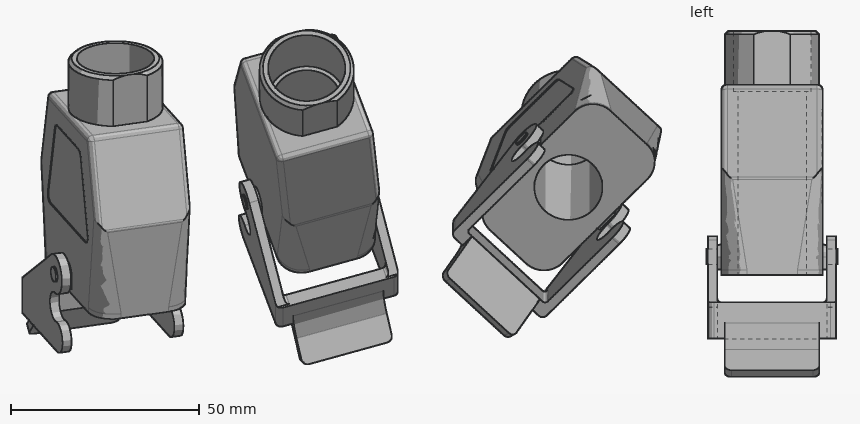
import cadquery as cq
import math


HOOD_LENGTH = 46.0
HOOD_WIDTH = 26.9
HOOD_HEIGHT = 50.5
SHOULDER_Z = 25.7
SHOULDER_LEAN = 15
SHOULDER_ROUND = 2.75
EDGE_ROUND = 1.6

RIM_HEIGHT = 1.5
RIM_CORNER_RADIUS = 6.8
SHOULDER_CORNER_RADIUS = 2.9
CORNER_BLEND_TOP = 38.5

ENTRY_DIAMETER = 25.0
ENTRY_FLATS_WIDTH = 23.1
ENTRY_HEIGHT = 14.2
ENTRY_CHAMFER = 0.9
BORE_DIAMETER = 18.0
COUNTERBORE_DIAMETER = 20.4
COUNTERBORE_DEPTH = 16.0

PANEL_BOTTOM_Z = 19.2
PANEL_TOP_Z = 43.9
PANEL_BOTTOM_LENGTH = 32.8
PANEL_CORNER_RADIUS = 2.0
PANEL_DEPTH = 0.3

PIVOT_Z = 4.95
PIN_DIAMETER = 4.0
PIN_PROTRUSION = 0.5
BOSS_WIDTH = 6.6
BOSS_DRAFT = 18

LEVER_WIDTH = 34.0
ARM_THICKNESS = 2.6
BRIDGE_THICKNESS = 3.6
BRIDGE_FRONT_X = -27.3
BRIDGE_TOP_Z = -7.1
BRIDGE_INNER_ROUND = 0.9
BRIDGE_OUTER_ROUND = 1.6
LEVER_BOTTOM_Z = -16.8
HEAD_RADIUS = 5.4
ARM_SLOPE = 35
NOTCH_RADIUS = 4.0
FINGER_RADIUS = 4.2

TAB_WIDTH = 25.1
TAB_THICKNESS = 2.6
TAB_ANGLE = 45
TAB_BEND_RADIUS = 9.8
TAB_TIP_X = -35.7
TAB_BEND_TOP_Z = -12.6
TAB_CORNER_RADIUS = 1.7

CLEARANCE = 55.0

ARM_INNER_Y = LEVER_WIDTH / 2 - ARM_THICKNESS
ARM_OUTER_Y = LEVER_WIDTH / 2


def along_y(outline, half_width):
    """Extrude an XZ outline symmetrically about Y = 0."""
    return outline.extrude(half_width, both=True)


def make_hood_side_shape():
    """Hood outline seen along Y, with its edges rounded."""
    bottom_x = HOOD_LENGTH / 2
    top_x = bottom_x - (HOOD_HEIGHT - SHOULDER_Z) * math.tan(math.radians(SHOULDER_LEAN))
    outline = cq.Workplane("XZ").polyline([
        (-bottom_x, 0),
        (bottom_x, 0),
        (bottom_x, SHOULDER_Z),
        (top_x, HOOD_HEIGHT),
        (-top_x, HOOD_HEIGHT),
        (-bottom_x, SHOULDER_Z),
    ]).close()
    prism = along_y(outline, HOOD_WIDTH / 2)
    shoulder_edges = cq.selectors.BoxSelector(
        (-HOOD_LENGTH, -HOOD_WIDTH, RIM_HEIGHT), (HOOD_LENGTH, HOOD_WIDTH, CORNER_BLEND_TOP))
    prism = prism.edges("|Y").edges(shoulder_edges).fillet(SHOULDER_ROUND)
    side_edges = prism.faces("<Y or >Y").edges("not <Z")
    top_end_edges = prism.faces(">Z").edges("|Y")
    return side_edges.add(top_end_edges).fillet(EDGE_ROUND)


def make_hood_corner_shape():
    """Block whose corner radius is constant at the rim and tapers away above it."""
    radius_loss = (RIM_CORNER_RADIUS - SHOULDER_CORNER_RADIUS) / (SHOULDER_Z - RIM_HEIGHT)
    blend_height = CORNER_BLEND_TOP - RIM_HEIGHT
    top_radius = RIM_CORNER_RADIUS - radius_loss * blend_height
    full_section = cq.Sketch().rect(HOOD_LENGTH, HOOD_WIDTH)
    rim_section = full_section.copy().vertices().fillet(RIM_CORNER_RADIUS)
    top_section = full_section.copy().vertices().fillet(top_radius)
    rim = cq.Workplane("XY").placeSketch(rim_section).extrude(RIM_HEIGHT)
    blend = cq.Workplane("XY", origin=(0, 0, RIM_HEIGHT)).placeSketch(
        rim_section, top_section.moved(cq.Location(cq.Vector(0, 0, blend_height)))).loft(ruled=True)
    cap = cq.Workplane("XY", origin=(0, 0, CORNER_BLEND_TOP)).placeSketch(
        top_section).extrude(HOOD_HEIGHT - CORNER_BLEND_TOP)
    return rim.union(blend).union(cap)


def make_cable_entry():
    """Chamfered tube stub with two flats facing along X."""
    base = cq.Workplane("XY", origin=(0, 0, HOOD_HEIGHT))
    stub = base.circle(ENTRY_DIAMETER / 2).extrude(ENTRY_HEIGHT).faces(">Z").chamfer(ENTRY_CHAMFER)
    flats = base.rect(ENTRY_FLATS_WIDTH, ENTRY_DIAMETER).extrude(ENTRY_HEIGHT)
    return stub.intersect(flats)


def cut_bores(body):
    """Stepped bore running down through the entry and the hood."""
    top = body.faces(">Z").workplane(origin=(0, 0, 0))
    return top.cboreHole(BORE_DIAMETER, COUNTERBORE_DIAMETER, COUNTERBORE_DEPTH)


def make_panel_recess():
    """Shallow trapezoid sunk into the -Y face, its sides parallel to the end faces."""
    bottom_x = PANEL_BOTTOM_LENGTH / 2
    top_x = bottom_x - (PANEL_TOP_Z - PANEL_BOTTOM_Z) * math.tan(math.radians(SHOULDER_LEAN))
    recess = cq.Workplane("XZ", origin=(0, -HOOD_WIDTH / 2, 0)).polyline([
        (-bottom_x, PANEL_BOTTOM_Z),
        (bottom_x, PANEL_BOTTOM_Z),
        (top_x, PANEL_TOP_Z),
        (-top_x, PANEL_TOP_Z),
    ]).close().extrude(-PANEL_DEPTH)
    return recess.edges("|Y").fillet(PANEL_CORNER_RADIUS)


def make_pivot(side):
    """Drafted boss and pivot pin on one wall; side is -1 or +1 along Y."""
    wall_y = HOOD_WIDTH / 2
    boss_height = ARM_INNER_Y - wall_y
    wall = cq.Workplane(cq.Plane((0, side * wall_y, PIVOT_Z), xDir=(1, 0, 0), normal=(0, side, 0)))
    boss = wall.slot2D(BOSS_WIDTH + 2 * PIVOT_Z, BOSS_WIDTH, 90).extrude(boss_height, taper=BOSS_DRAFT)
    boss = boss.translate((0, 0, -PIVOT_Z))
    below_rim = cq.Workplane("XY", origin=(0, 0, RIM_HEIGHT)).rect(
        BOSS_WIDTH, CLEARANCE).extrude(-CLEARANCE)
    boss = boss.cut(below_rim)
    pin_length = ARM_OUTER_Y + PIN_PROTRUSION - wall_y
    pin = wall.circle(PIN_DIAMETER / 2).extrude(pin_length)
    return boss.union(pin)


def make_housing():
    hood = make_hood_side_shape().intersect(make_hood_corner_shape())
    hood = cut_bores(hood.union(make_cable_entry()))
    hood = hood.cut(make_panel_recess())
    for side in (-1, 1):
        hood = hood.union(make_pivot(side))
    return hood


def point_on_circle(center, radius, degrees):
    angle = math.radians(degrees)
    return (center[0] + radius * math.cos(angle), center[1] + radius * math.sin(angle))


def make_lever_side_shape():
    """Arm outline: bridge end, sloped top, round head, hook notch and finger."""
    head = (0, PIVOT_Z)
    notch = (0, PIVOT_Z - HEAD_RADIUS - NOTCH_RADIUS)
    finger_z = LEVER_BOTTOM_Z + FINGER_RADIUS
    centre_distance = NOTCH_RADIUS + FINGER_RADIUS
    finger_x = math.sqrt(centre_distance ** 2 - (notch[1] - finger_z) ** 2)
    finger = (finger_x, finger_z)
    notch_to_finger = math.degrees(math.atan2(finger[1] - notch[1], finger[0] - notch[0]))

    slope_end = point_on_circle(head, HEAD_RADIUS, 90 + ARM_SLOPE)
    slope_start_x = slope_end[0] - (slope_end[1] - BRIDGE_TOP_Z) / math.tan(math.radians(ARM_SLOPE))
    outline = (
        cq.Workplane("XZ")
        .moveTo(BRIDGE_FRONT_X, LEVER_BOTTOM_Z)
        .lineTo(BRIDGE_FRONT_X, BRIDGE_TOP_Z)
        .lineTo(slope_start_x, BRIDGE_TOP_Z)
        .lineTo(*slope_end)
        .threePointArc(point_on_circle(head, HEAD_RADIUS, 0), point_on_circle(head, HEAD_RADIUS, -90))
        .threePointArc(point_on_circle(notch, NOTCH_RADIUS, 180),
                       point_on_circle(notch, NOTCH_RADIUS, notch_to_finger))
        .threePointArc(point_on_circle(finger, FINGER_RADIUS, 0),
                       point_on_circle(finger, FINGER_RADIUS, -90))
        .close()
    )
    return along_y(outline, ARM_OUTER_Y)


def make_lever_tab():
    """Grip tab bending out of the bridge and running down at an angle."""
    lean = math.radians(TAB_ANGLE)
    bend_center = (BRIDGE_FRONT_X - TAB_BEND_RADIUS, TAB_BEND_TOP_Z)
    bend_end = point_on_circle(bend_center, TAB_BEND_RADIUS, -TAB_ANGLE)
    tip_z = bend_end[1] - (bend_end[0] - TAB_TIP_X) / math.tan(lean)
    inner_tip = (TAB_TIP_X + TAB_THICKNESS * math.cos(lean), tip_z - TAB_THICKNESS * math.sin(lean))
    bridge_back_x = inner_tip[0] + (LEVER_BOTTOM_Z - inner_tip[1]) * math.tan(lean)
    outline = (
        cq.Workplane("XZ")
        .moveTo(BRIDGE_FRONT_X, TAB_BEND_TOP_Z)
        .threePointArc(point_on_circle(bend_center, TAB_BEND_RADIUS, -TAB_ANGLE / 2), bend_end)
        .lineTo(TAB_TIP_X, tip_z)
        .lineTo(*inner_tip)
        .lineTo(bridge_back_x, LEVER_BOTTOM_Z)
        .lineTo(bridge_back_x, TAB_BEND_TOP_Z)
        .close()
    )
    tab = along_y(outline, TAB_WIDTH / 2)
    tip_face = tab.faces(cq.selectors.NearestToPointSelector(
        ((TAB_TIP_X + inner_tip[0]) / 2, 0, (tip_z + inner_tip[1]) / 2)))
    return tip_face.edges("not |Y").fillet(TAB_CORNER_RADIUS)


def make_lever():
    bridge_back_x = BRIDGE_FRONT_X + BRIDGE_THICKNESS
    lever = make_lever_side_shape().edges("|Z and <X").fillet(BRIDGE_OUTER_ROUND)

    opening = (
        cq.Workplane("XY", origin=(bridge_back_x + CLEARANCE / 2, 0, LEVER_BOTTOM_Z))
        .rect(CLEARANCE, 2 * ARM_INNER_Y).extrude(CLEARANCE)
        .edges("|Z").fillet(BRIDGE_INNER_ROUND)
    )
    above_bridge = (
        cq.Workplane("XY", origin=(bridge_back_x, 0, BRIDGE_TOP_Z))
        .rect(2 * BRIDGE_THICKNESS, 2 * ARM_INNER_Y).extrude(CLEARANCE)
        .faces("<Z").edges("|X").fillet(BRIDGE_INNER_ROUND)
    )
    pin_holes = cq.Workplane("XZ", origin=(0, 0, PIVOT_Z)).circle(PIN_DIAMETER / 2).extrude(
        CLEARANCE, both=True)
    return lever.cut(opening).cut(above_bridge).cut(pin_holes).union(make_lever_tab())


housing = make_housing()
lever = make_lever()
result = cq.Compound.makeCompound([housing.solids().val(), lever.solids().val()])